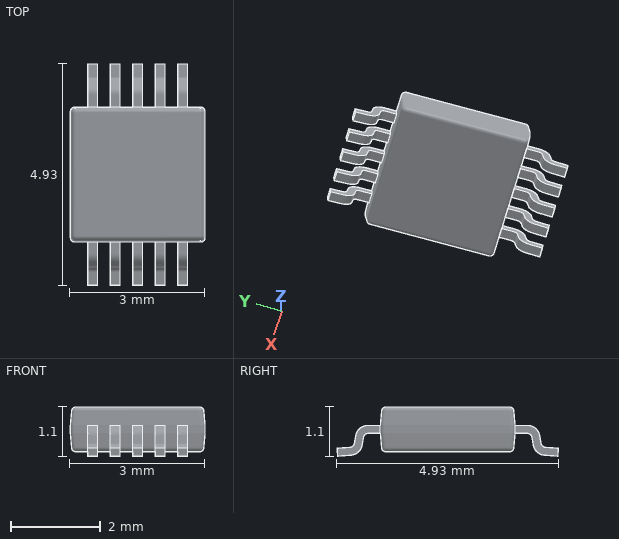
import cadquery as cq
import math

body_side = 3.0
body_height = 1.0
standoff = 0.1
draft_angle = 5.0
edge_radius = 0.1

lead_span = 4.93
lead_count = 5
lead_row = 2.0
lead_width = 0.22
lead_thickness = 0.18
shoulder_run = 0.27
inner_radius = 0.1
shank_angle = 80.0
foot_angle = 4.0
lead_anchor = 0.245

body_middle = standoff + body_height / 2
band_top = body_middle + lead_thickness / 2
band_bottom = body_middle - lead_thickness / 2
outer_radius = inner_radius + lead_thickness
lead_pitch = lead_row / (lead_count - 1)


def make_body():
    """Square body with a straight middle band, drafted halves and rounded edges."""
    half_height = (body_height - lead_thickness) / 2
    upper = (
        cq.Workplane("XY", origin=(0, 0, band_top))
        .rect(body_side, body_side).extrude(half_height, taper=draft_angle)
        .edges("not <Z").fillet(edge_radius)
    )
    lower = upper.mirror("XY", (0, 0, body_middle))
    band = upper.faces("<Z").wires().toPending().extrude(-lead_thickness, combine=False)
    return band.union(upper).union(lower)


def step_along(start, distance, tilt):
    """Point at the given distance along a direction tilted outward from vertical; negative goes below."""
    return (start[0] + distance * math.sin(tilt), start[1] + distance * math.cos(tilt))


def make_lead():
    """One lead on the +Y side, centred on X = 0."""
    shank = math.radians(shank_angle)
    foot = math.radians(foot_angle)
    root = body_side / 2 - lead_anchor
    tip = lead_span / 2

    bend = (body_side / 2 + shoulder_run, band_top - outer_radius)
    shank_start = step_along(bend, outer_radius, shank)

    tip_top = (tip, lead_thickness * math.cos(foot))
    bend_run = inner_radius * (math.sin(shank) - math.sin(foot))
    bend_drop = inner_radius * (math.cos(foot) - math.cos(shank))
    straight_run = tip_top[0] - shank_start[0] - bend_run
    straight_drop = shank_start[1] - tip_top[1] - bend_drop
    height_over_foot = straight_drop * math.cos(foot) - straight_run * math.sin(foot)
    shank_length = height_over_foot / math.sin(shank - foot)
    shank_end = (
        shank_start[0] + shank_length * math.cos(shank),
        shank_start[1] - shank_length * math.sin(shank),
    )

    heel = step_along(shank_end, inner_radius, shank)
    mid_tilt = (shank + foot) / 2
    tip_bottom = step_along(tip_top, -lead_thickness, foot)

    profile = (
        cq.Workplane("YZ").workplane(offset=-lead_width / 2)
        .moveTo(root, band_top)
        .lineTo(bend[0], band_top)
        .threePointArc(step_along(bend, outer_radius, shank / 2), shank_start)
        .lineTo(*shank_end)
        .threePointArc(step_along(heel, -inner_radius, mid_tilt), step_along(heel, -inner_radius, foot))
        .lineTo(*tip_top)
        .lineTo(*tip_bottom)
        .lineTo(*step_along(heel, -outer_radius, foot))
        .threePointArc(step_along(heel, -outer_radius, mid_tilt), step_along(heel, -outer_radius, shank))
        .lineTo(*step_along(bend, inner_radius, shank))
        .threePointArc(step_along(bend, inner_radius, shank / 2), (bend[0], band_bottom))
        .lineTo(root, band_bottom)
        .close()
    )
    return profile.extrude(lead_width)


result = make_body()
back_lead = make_lead()
front_lead = back_lead.mirror("XZ")
for index in range(lead_count):
    lead_x = index * lead_pitch - lead_row / 2
    for lead in (back_lead, front_lead):
        result = result.union(lead.translate((lead_x, 0, 0)))